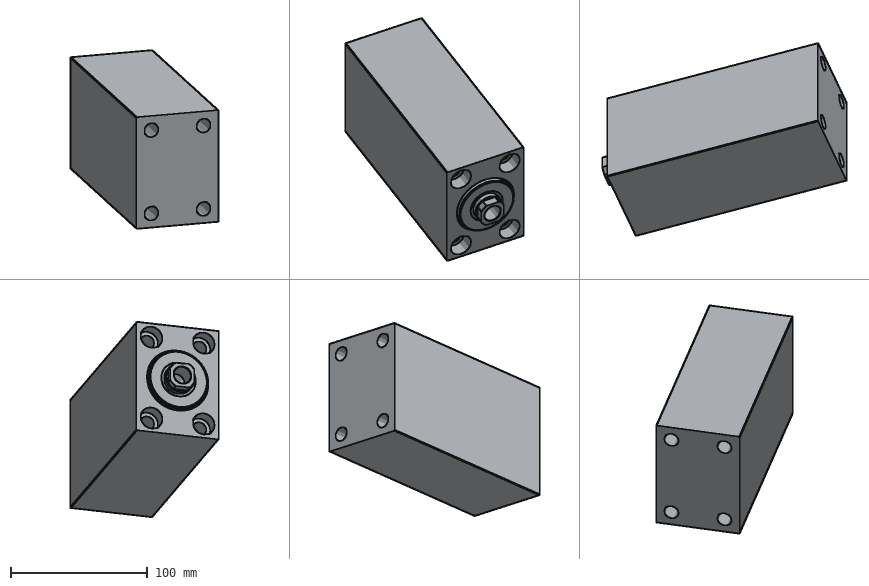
import cadquery as cq
import math


TOTAL_LENGTH = 175.0
HOUSING_WIDTH = 63.0
HOUSING_HEIGHT = 85.0

HEAD_LENGTH = 6.0
TIP_TO_BUSH = 9.3
TIP_TO_HOUSING = 11.7
HOUSING_LENGTH = TOTAL_LENGTH - TIP_TO_HOUSING
BUSH_PROJECTION = TIP_TO_HOUSING - TIP_TO_BUSH
SHOULDER_PROJECTION = TIP_TO_HOUSING - HEAD_LENGTH

LONG_EDGE_CHAMFER = 0.5
SEAT_DEPTH = 17.5
SEAT_MOUTH_CHAMFER = 1.0

SCREW_SPACING_Y = 39.9
SCREW_SPACING_Z = 63.4
SCREW_HOLE_DIAMETER = 10.5
COUNTERBORE_DIAMETER = 16.5
COUNTERBORE_DEPTH = 10.8

BUSH_DIAMETER = 45.0
BUSH_CHAMFER_LENGTH = 0.5
BUSH_CHAMFER_WIDTH = 1.0
BUSH_RECESS_DIAMETER = 26.2
BUSH_RECESS_DEPTH = 0.9

ROD_DIAMETER = 21.9
ROD_CHAMFER = 0.5
HEAD_ACROSS_FLATS = 18.4
HEAD_CORNER_DIAMETER = 21.0

BORE_DIAMETER = 13.0
BORE_DEPTH = 15.8
BORE_MOUTH_CHAMFER = 0.4
DRILL_POINT_ANGLE = 118.0


def turned(profile):
    """Revolve a closed profile of (x, radius) points about the X axis."""
    return cq.Workplane("XY").polyline(profile).close().revolve(360, (0, 0, 0), (1, 0, 0))


def rod_along_x(diameter, start, length):
    """Plain cylinder on the X axis."""
    return cq.Workplane("YZ").workplane(offset=start).circle(diameter / 2).extrude(length)


def bush_seat():
    """Blind seat for the bush, with a chamfered mouth."""
    radius = BUSH_DIAMETER / 2
    return turned([
        (0, 0),
        (0, radius + SEAT_MOUTH_CHAMFER),
        (SEAT_MOUTH_CHAMFER, radius),
        (SEAT_DEPTH, radius),
        (SEAT_DEPTH, 0),
    ])


def screw_holes(diameter, depth):
    """Four cylinders on the screw pattern, going in from the front face."""
    return (
        cq.Workplane("YZ")
        .rect(SCREW_SPACING_Y, SCREW_SPACING_Z, forConstruction=True)
        .vertices()
        .circle(diameter / 2)
        .extrude(depth)
    )


def make_housing():
    block = (
        cq.Workplane("YZ")
        .rect(HOUSING_WIDTH, HOUSING_HEIGHT)
        .extrude(HOUSING_LENGTH)
        .edges("|X")
        .chamfer(LONG_EDGE_CHAMFER)
    )
    return (
        block
        .cut(screw_holes(SCREW_HOLE_DIAMETER, HOUSING_LENGTH))
        .cut(screw_holes(COUNTERBORE_DIAMETER, COUNTERBORE_DEPTH))
        .cut(bush_seat())
    )


def make_bush():
    radius = BUSH_DIAMETER / 2
    front = -BUSH_PROJECTION
    body = turned([
        (front, 0),
        (front, radius - BUSH_CHAMFER_WIDTH),
        (front + BUSH_CHAMFER_LENGTH, radius),
        (SEAT_DEPTH, radius),
        (SEAT_DEPTH, 0),
    ])
    recess = rod_along_x(BUSH_RECESS_DIAMETER, front, BUSH_RECESS_DEPTH)
    rod_hole = rod_along_x(ROD_DIAMETER, front, BUSH_PROJECTION + SEAT_DEPTH)
    return body.cut(recess).cut(rod_hole)


def wrench_head():
    """Round head with four flats for a wrench."""
    square = (
        cq.Workplane("YZ")
        .workplane(offset=-TIP_TO_HOUSING)
        .rect(HEAD_ACROSS_FLATS, HEAD_ACROSS_FLATS)
        .extrude(HEAD_LENGTH)
    )
    return square.intersect(rod_along_x(HEAD_CORNER_DIAMETER, -TIP_TO_HOUSING, HEAD_LENGTH))


def tip_bore():
    """Blind bore with a chamfered mouth and a conical drill point."""
    radius = BORE_DIAMETER / 2
    tip = -TIP_TO_HOUSING
    point_length = radius / math.tan(math.radians(DRILL_POINT_ANGLE / 2))
    return turned([
        (tip, 0),
        (tip, radius + BORE_MOUTH_CHAMFER),
        (tip + BORE_MOUTH_CHAMFER, radius),
        (tip + BORE_DEPTH, radius),
        (tip + BORE_DEPTH + point_length, 0),
    ])


def make_rod():
    shaft = (
        rod_along_x(ROD_DIAMETER, -SHOULDER_PROJECTION, SHOULDER_PROJECTION + SEAT_DEPTH)
        .faces("<X")
        .chamfer(ROD_CHAMFER)
    )
    return shaft.union(wrench_head()).cut(tip_bore())


housing = make_housing()
bush = make_bush()
rod = make_rod()

result = cq.Compound.makeCompound([housing.val(), bush.val(), rod.val()])